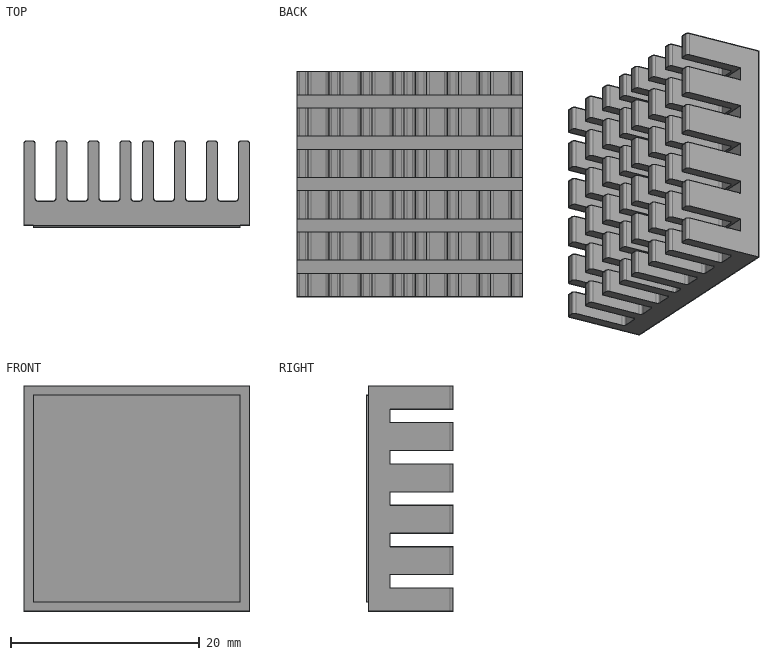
import cadquery as cq


width = 24.0
body_depth = 9.0
pad_thickness = 0.2
pad_margin = 1.0

fin_thickness = 1.2
fin_gap = 2.2
fins_per_half = 4
channel_floor = 2.6
tip_radius = 0.3
root_radius = 0.3

cross_slot_width = 1.4
cross_slot_pitch = 4.4
cross_slot_count = 5
cross_slot_floor = 2.3

fin_pitch = fin_thickness + fin_gap
half_width = width / 2
fin_height = body_depth - channel_floor
pad_width = width - 2 * pad_margin
center_gap = width - 2 * (fins_per_half * fin_thickness + (fins_per_half - 1) * fin_gap)


def box_from(x_min, y_min, z_size, x_size, y_size):
    """Box starting at (x_min, y_min) and centred on Z = 0."""
    return (
        cq.Workplane("XY")
        .box(x_size, y_size, z_size, centered=(False, False, True))
        .translate((x_min, y_min, 0))
    )


def channel(x_min, gap):
    """Full-height channel between two fins, rounded where it meets the base."""
    cutter = box_from(x_min, channel_floor, width, gap, fin_height)
    return cutter.edges("|Z and <Y").fillet(root_radius)


def finned_body():
    """Block with the channels cut and every fin tip rounded."""
    body = box_from(-half_width, 0, width, width, body_depth)
    body = body.cut(channel(-center_gap / 2, center_gap))
    for i in range(fins_per_half - 1):
        x_left = -half_width + fin_thickness + i * fin_pitch
        body = body.cut(channel(x_left, fin_gap))
        body = body.cut(channel(-x_left - fin_gap, fin_gap))
    return body.faces(">Y").edges("|Z").fillet(tip_radius)


def cut_cross_slots(body):
    """Cut the evenly spaced slots that run across all fins along X."""
    slot_height = body_depth - cross_slot_floor
    for i in range(cross_slot_count):
        z = (i - (cross_slot_count - 1) / 2) * cross_slot_pitch
        slot = box_from(-half_width, cross_slot_floor, cross_slot_width, width, slot_height)
        body = body.cut(slot.translate((0, 0, z)))
    return body


pad = box_from(-pad_width / 2, -pad_thickness, pad_width, pad_width, pad_thickness)

result = cut_cross_slots(finned_body()).union(pad)